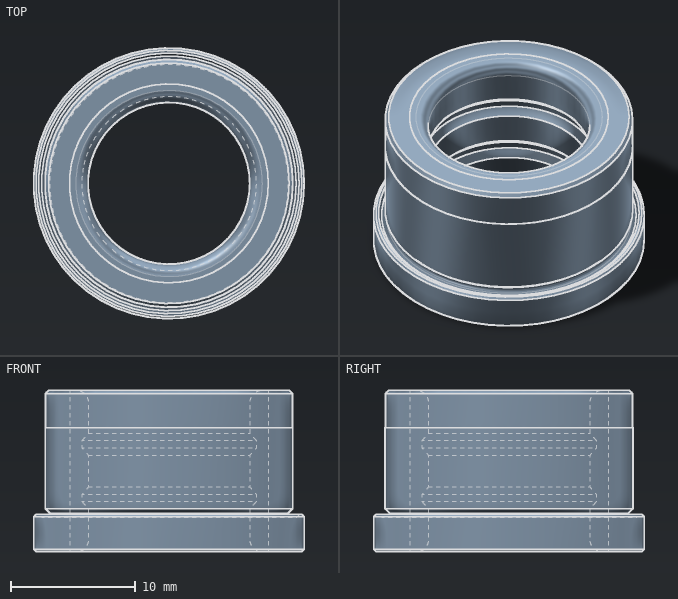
import cadquery as cq
import math

HEIGHT = 13.0
LINER_RADIUS = 8.0

FLANGE_RADIUS = 10.9
FLANGE_HEIGHT = 3.0
FLANGE_CHAMFER = 0.2
BODY_RADIUS = 9.98
TOP_CHAMFER = 0.28

PILOT_RADIUS = 9.96
PILOT_LENGTH = 3.0

UNDERCUT_NECK_DEPTH = 0.4
UNDERCUT_FLOOR_DEPTH = 0.25
UNDERCUT_MOUTH_RADIUS = 10.49
UNDERCUT_FILLET = 0.3

BORE_RADIUS = 6.5
MOUTH_FILLET = 1.0
GROOVE_WIDTH = 1.77
GROOVE_DEPTH = 0.52
GROOVE_FLANK_HEIGHT = 0.59
MIDDLE_LAND = 2.55


def revolve(profile):
    """Turn a closed radius-height profile on the XZ plane around the Z axis."""
    return profile.close().revolve(360, (0, 0, 0), (0, 1, 0))


def make_housing():
    """Flanged sleeve with a corner undercut and a slimmer lead-in."""
    flange_rim = FLANGE_RADIUS - FLANGE_CHAMFER
    neck_radius = BODY_RADIUS - UNDERCUT_NECK_DEPTH
    floor_z = FLANGE_HEIGHT - UNDERCUT_FLOOR_DEPTH
    fillet_r = neck_radius + UNDERCUT_FILLET
    fillet_z = floor_z + UNDERCUT_FILLET
    fillet_mid = UNDERCUT_FILLET / math.sqrt(2)
    pilot_z = HEIGHT - PILOT_LENGTH

    profile = (
        cq.Workplane("XZ")
        .moveTo(LINER_RADIUS, 0)
        .lineTo(flange_rim, 0)
        .lineTo(FLANGE_RADIUS, FLANGE_CHAMFER)
        .lineTo(FLANGE_RADIUS, FLANGE_HEIGHT - FLANGE_CHAMFER)
        .lineTo(flange_rim, FLANGE_HEIGHT)
        .lineTo(UNDERCUT_MOUTH_RADIUS, FLANGE_HEIGHT)
        .lineTo(UNDERCUT_MOUTH_RADIUS - UNDERCUT_FLOOR_DEPTH, floor_z)
        .lineTo(fillet_r, floor_z)
        .threePointArc((fillet_r - fillet_mid, fillet_z - fillet_mid), (neck_radius, fillet_z))
        .lineTo(BODY_RADIUS, fillet_z + UNDERCUT_NECK_DEPTH)
        .lineTo(BODY_RADIUS, pilot_z)
        .lineTo(PILOT_RADIUS, pilot_z)
        .lineTo(PILOT_RADIUS, HEIGHT - TOP_CHAMFER)
        .lineTo(PILOT_RADIUS - TOP_CHAMFER, HEIGHT)
        .lineTo(LINER_RADIUS, HEIGHT)
    )
    return revolve(profile)


def make_groove(center_z):
    """Ring to cut from the bore: a trapezoid that narrows towards its floor."""
    half_mouth = GROOVE_WIDTH / 2
    half_floor = half_mouth - GROOVE_FLANK_HEIGHT
    floor_radius = BORE_RADIUS + GROOVE_DEPTH
    profile = (
        cq.Workplane("XZ")
        .moveTo(BORE_RADIUS, center_z - half_mouth)
        .lineTo(floor_radius, center_z - half_floor)
        .lineTo(floor_radius, center_z + half_floor)
        .lineTo(BORE_RADIUS, center_z + half_mouth)
    )
    return revolve(profile)


def make_liner():
    """Plain tube with rounded mouths and two grooves placed evenly about mid-height."""
    tube = cq.Workplane("XY").circle(LINER_RADIUS).circle(BORE_RADIUS).extrude(HEIGHT)
    liner = tube.edges("%CIRCLE").edges(cq.selectors.RadiusNthSelector(0)).fillet(MOUTH_FILLET)
    groove_offset = (MIDDLE_LAND + GROOVE_WIDTH) / 2
    for side in (-1, 1):
        liner = liner.cut(make_groove(HEIGHT / 2 + side * groove_offset))
    return liner


housing = make_housing()
liner = make_liner()

result = cq.Compound.makeCompound([housing.val(), *liner.solids().vals()])